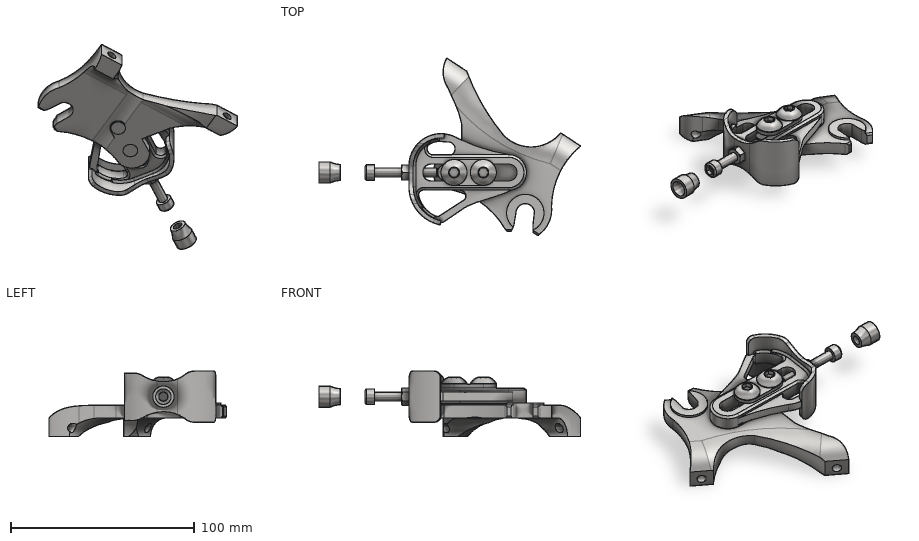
import cadquery as cq
import math

plate_bottom = 10.2
plate_top = 17.2
rail_height = 9.3
rail_top = plate_top + rail_height
axis_z = plate_top + rail_height / 2
clamp_spacing = 16.0
clamp_xs = [0.0, clamp_spacing]
clamp_shank_d = 8.0
adjuster_d = 5.0

foot_corner = (-3.96, 62.5)
mount_angle = math.radians(33.3)
mount_length = 87.5
foot_width = 13.1
foot_thickness = 10.2
foot_face_height = 10.3
along_dir = cq.Vector(math.cos(mount_angle), -math.sin(mount_angle), 0)
inward_dir = cq.Vector(-math.sin(mount_angle), -math.cos(mount_angle), 0)
foot_bend_length = 17.2
foot_bend_drop = plate_top - foot_face_height
foot_bend_radius = (foot_bend_length**2 + foot_bend_drop**2) / (2 * foot_bend_drop)
foot_hole_d = 5.0
foot_hole_z = 4.7
tunnel_start = 13.7
tunnel_end = 73.8
tunnel_height = 8.3
tunnel_near_haunch = (24.1, 4.7)
tunnel_far_haunch = (67.3, 6.6)
reach = 130.0

dome_axis = (74.8, 98.8)
dome_flat_radius = 96.6
dome_inner_radius = 76.0
dome_outer_radius = 200.0

nose_x = -5.6
nose_half_width = 8.95
nose_tip_x = -11.45
hook_center = (38.9, -22.1)
hook_slot_radius = 5.0
hook_ring_radius = 10.2
hook_ring_height = 1.3
hook_arc_rise = 0.8
hook_tips = [((29.0, -32.2), (31.15, -32.2)), ((43.2, -32.9), (45.8, -34.5))]
hook_tip_chamfer = 1.0
key_start = -4.4
key_radius = 4.5
key_height = 7.2


def mount_point(along, inward):
    """Plan position of a point given in the mounting frame."""
    spot = along_dir * along + inward_dir * inward
    return (foot_corner[0] + spot.x, foot_corner[1] + spot.y)


def stadium(start_x, end_x, radius, bottom, height):
    """Upright slot-shaped solid along X, given the centres of its two round ends."""
    length = end_x - start_x + 2 * radius
    plan = cq.Workplane("XY", origin=((start_x + end_x) / 2, 0, bottom)).slot2D(length, 2 * radius)
    return plan.extrude(height)


def base_blank():
    hook_x, hook_y = hook_center
    mouth_y = hook_y + hook_arc_rise
    mouth_half = math.sqrt(hook_slot_radius**2 - hook_arc_rise**2)
    return (
        cq.Workplane("XY")
        .moveTo(*foot_corner)
        .threePointArc((-6.0, 55.3), (-3.3, 46.1))
        .lineTo(0.35, 37.9)
        .threePointArc((2.75, 31.7), (4.2, 25.9))
        .lineTo(4.2, nose_half_width)
        .lineTo(nose_x, nose_half_width)
        .threePointArc((nose_tip_x, 0), (nose_x, -nose_half_width))
        .threePointArc((13.7, -15.8), (27.7, -30.7))
        .lineTo(*hook_tips[0][0])
        .lineTo(*hook_tips[0][1])
        .lineTo(32.7, -29.0)
        .lineTo(hook_x - mouth_half, mouth_y)
        .threePointArc((hook_x, hook_y + hook_slot_radius), (hook_x + mouth_half, mouth_y))
        .lineTo(43.0, -29.0)
        .lineTo(*hook_tips[1][0])
        .lineTo(*hook_tips[1][1])
        .lineTo(46.8, -33.6)
        .threePointArc((51.6, -27.8), (53.3, -18.5))
        .threePointArc((58.3, 1.1), mount_point(mount_length, 0))
        .lineTo(*mount_point(mount_length - foot_width, 0))
        .threePointArc((42.3, 14.0), (27.3, 20.05))
        .threePointArc((14.4, 39.0), mount_point(foot_width, 0))
        .close()
        .extrude(plate_top)
    )


def foot_bend():
    """Plate that bends down into the feet: one section, run along the mounting plane."""
    middle = math.asin(foot_bend_length / foot_bend_radius) / 2
    outer_mid = (
        foot_bend_length - foot_bend_radius * math.sin(middle),
        plate_top - foot_bend_radius * (1 - math.cos(middle)),
    )
    inner_mid = (
        foot_thickness + plate_bottom * (1 - math.cos(math.pi / 4)),
        plate_bottom * math.sin(math.pi / 4),
    )
    section = cq.Plane(
        origin=(*mount_point(-reach, 0), 0), xDir=inward_dir.toTuple(), normal=(-along_dir).toTuple()
    )
    return (
        cq.Workplane(section)
        .moveTo(0, 0)
        .lineTo(0, foot_face_height)
        .threePointArc(outer_mid, (foot_bend_length, plate_top))
        .lineTo(reach, plate_top)
        .lineTo(reach, plate_bottom)
        .lineTo(foot_thickness + plate_bottom, plate_bottom)
        .threePointArc(inner_mid, (foot_thickness, 0))
        .close()
        .extrude(-3 * reach)
    )


def edge_dome():
    span = dome_flat_radius - dome_inner_radius
    center_z = plate_top - foot_bend_radius
    full_angle = math.asin(span / foot_bend_radius)
    start_z = center_z + foot_bend_radius * math.cos(full_angle)
    middle = (
        dome_flat_radius - foot_bend_radius * math.sin(full_angle / 2),
        center_z + foot_bend_radius * math.cos(full_angle / 2),
    )
    return (
        cq.Workplane("XZ", origin=(*dome_axis, 0))
        .moveTo(dome_inner_radius, 0)
        .lineTo(dome_inner_radius, start_z)
        .threePointArc(middle, (dome_flat_radius, plate_top))
        .lineTo(dome_outer_radius, plate_top)
        .lineTo(dome_outer_radius, 0)
        .close()
        .revolve(360, (0, 0, 0), (0, 1, 0))
    )


def tunnel():
    """Arched clearance between the two feet."""
    face = cq.Plane(
        origin=(*mount_point(0, -1), 0), xDir=along_dir.toTuple(), normal=inward_dir.toTuple()
    )
    return (
        cq.Workplane(face)
        .moveTo(tunnel_start, 0)
        .threePointArc(tunnel_near_haunch, (mount_length / 2, tunnel_height))
        .threePointArc(tunnel_far_haunch, (tunnel_end, 0))
        .close()
        .extrude(reach)
    )


def foot_holes():
    face = cq.Plane(
        origin=(*mount_point(0, 0), 0), xDir=along_dir.toTuple(), normal=inward_dir.toTuple()
    )
    spots = [(foot_width / 2, foot_hole_z), (mount_length - foot_width / 2, foot_hole_z)]
    return cq.Workplane(face).pushPoints(spots).circle(foot_hole_d / 2).extrude(foot_bend_length)


def make_base():
    blank = base_blank()
    ring = (
        cq.Workplane("XY", origin=(*hook_center, plate_bottom))
        .circle(hook_ring_radius)
        .extrude(plate_top + hook_ring_height - plate_bottom)
        .intersect(blank.translate((0, 0, hook_ring_height)))
    )
    key = stadium(key_start, clamp_spacing, key_radius, plate_bottom, plate_top - plate_bottom + key_height)
    body = blank.intersect(foot_bend()).intersect(edge_dome()).cut(tunnel()).cut(foot_holes())
    body = body.union(ring).union(key)
    for start, end in hook_tips:
        middle = ((start[0] + end[0]) / 2, (start[1] + end[1]) / 2)
        for z in (plate_bottom, plate_top):
            tip_edge = cq.selectors.NearestToPointSelector((*middle, z))
            body = body.edges(tip_edge).chamfer(hook_tip_chamfer)
    return body.cut(clamp_holes())


def clamp_holes():
    spots = [(x, 0) for x in clamp_xs]
    return cq.Workplane("XY").pushPoints(spots).circle(clamp_shank_d / 2).extrude(2 * rail_top)


rail_end_x = 29.85
rail_half_width = 9.7
slot_start_x = -12.5
slot_radius = 4.56
web_thickness = 4.85
web_end_x = 31.9
upper_window_start = (-12.1, rail_half_width)
upper_window_turn = (-14.5, 12.0)
upper_window_corner = (-14.0, 15.0)
upper_window_bow = (-11.2, 16.4)
upper_window_end = (-8.0, 16.9)
lower_window_start = (-16.2, -rail_half_width)
lower_window_turn = (-18.7, -10.6)
lower_window_corner = (-19.2, -13.0)
lower_window_bow = (-16.0, -19.3)
lower_window_end = (-9.9, -23.8)
rail_chamfer_width = 1.4
rail_chamfer_height = 0.95

wall_x = -24.7
wall_thickness = 2.4
upper_bend_radius = 17.8
upper_bend_center = (wall_x + upper_bend_radius, 3.5)
upper_end_angle = 84.5
lower_bend_radius = 21.4
lower_bend_center = (wall_x + lower_bend_radius, -7.7)
lower_end_angle = -101.5

root_ends = (115, -140)
root_inset = 0.5
waist_half_height = 8.2
waist_y = -0.4
upper_half_height = 12.9
upper_crest_y = 15.9
lower_half_height = 14.02
lower_crest_y = -17.0
crest_radius = 8.0
upper_corner_radius = 5.0
lower_corner_radius = 3.8


def on_circle(center, radius, degrees):
    angle = math.radians(degrees)
    return (center[0] + radius * math.cos(angle), center[1] + radius * math.sin(angle))


def wall_path(sketch, depth, backwards=False, ends=(upper_end_angle, lower_end_angle)):
    """Draw the wall's plan curve at a depth inside its outer face, from the current point."""
    upper_r = upper_bend_radius - depth
    lower_r = lower_bend_radius - depth
    upper = [on_circle(upper_bend_center, upper_r, a) for a in (ends[0], 140, 180)]
    lower = [on_circle(lower_bend_center, lower_r, a) for a in (-180, -165, ends[1])]
    if backwards:
        upper, lower = lower[::-1], upper[::-1]
    return (
        sketch.lineTo(*upper[0])
        .threePointArc(upper[1], upper[2])
        .lineTo(*lower[0])
        .threePointArc(lower[1], lower[2])
    )


def wave_side(crest_y, crest_height):
    """Waist arc and crest arc of one side: (waist arc middle, joint, crest arc middle, crest)."""
    run = abs(crest_y - waist_y)
    rise = crest_height - waist_half_height
    waist_radius = (run**2 + rise**2) / (2 * rise) - crest_radius
    angle = math.asin(run / (waist_radius + crest_radius))
    sign = math.copysign(1, crest_y - waist_y)

    def on_waist(turn):
        drop = waist_radius * (1 - math.cos(turn))
        return (waist_y + sign * waist_radius * math.sin(turn), waist_half_height + drop)

    crest_mid = (
        crest_y - sign * crest_radius * math.sin(angle / 2),
        crest_height - crest_radius * (1 - math.cos(angle / 2)),
    )
    return [on_waist(angle / 2), on_waist(angle), crest_mid, (crest_y, crest_height)]


def wall_height_profile():
    """Wavy height of the wall across Y, mirrored about the screw axis."""
    far = 40.0
    up = wave_side(upper_crest_y, upper_half_height)
    low = wave_side(lower_crest_y, lower_half_height)
    half = (
        cq.Workplane("YZ", origin=(wall_x - 1, 0, axis_z))
        .moveTo(-far, 0)
        .lineTo(-far, lower_half_height)
        .lineTo(*low[3])
        .threePointArc(low[2], low[1])
        .threePointArc(low[0], (waist_y, waist_half_height))
        .threePointArc(up[0], up[1])
        .threePointArc(up[2], up[3])
        .lineTo(far, upper_half_height)
        .lineTo(far, 0)
        .close()
        .extrude(far)
    )
    return half.union(half.mirror("XY", (0, 0, axis_z)))


def make_wall():
    tall = 2 * lower_half_height
    plan = cq.Workplane("XY", origin=(0, 0, axis_z - tall / 2))
    plan = plan.moveTo(*on_circle(upper_bend_center, upper_bend_radius - wall_thickness, upper_end_angle))
    plan = wall_path(plan, 0)
    plan = wall_path(plan, wall_thickness, backwards=True)
    wall = plan.close().extrude(tall).intersect(wall_height_profile())
    for center, radius, angle, half_height, corner in (
        (upper_bend_center, upper_bend_radius, upper_end_angle, upper_half_height, upper_corner_radius),
        (lower_bend_center, lower_bend_radius, lower_end_angle, lower_half_height, lower_corner_radius),
    ):
        x, y = on_circle(center, radius - wall_thickness / 2, angle)
        for z in (axis_z - half_height, axis_z + half_height):
            wall = wall.edges(cq.selectors.NearestToPointSelector((x, y, z))).fillet(corner)
    return wall


def upper_window():
    return (
        cq.Workplane("XY", origin=(0, 0, plate_top))
        .moveTo(*upper_window_start)
        .threePointArc(upper_window_turn, upper_window_corner)
        .threePointArc(upper_window_bow, upper_window_end)
        .lineTo(-3.5, 16.6)
        .threePointArc((0.5, 13.2), (-1.4, rail_half_width))
        .close()
        .extrude(rail_height)
    )


def lower_window():
    return (
        cq.Workplane("XY", origin=(0, 0, plate_top))
        .moveTo(*lower_window_start)
        .threePointArc(lower_window_turn, lower_window_corner)
        .threePointArc(lower_window_bow, lower_window_end)
        .lineTo(-8.5, -24.0)
        .lineTo(5.7, -14.8)
        .threePointArc((6.3, -12.0), (3.1, -rail_half_width))
        .close()
        .extrude(rail_height)
    )


def make_wall_root():
    """Bevelled step that thickens the wall where the rail meets it."""
    height = rail_height + 2 * rail_chamfer_height
    depth = wall_thickness + rail_chamfer_width
    plan = cq.Workplane("XY", origin=(0, 0, axis_z - height / 2))
    plan = plan.moveTo(*on_circle(upper_bend_center, upper_bend_radius - depth, root_ends[0]))
    plan = wall_path(plan, root_inset, ends=root_ends)
    plan = wall_path(plan, depth, backwards=True, ends=root_ends)
    return plan.close().extrude(height).faces("<Z or >Z").chamfer(rail_chamfer_height, rail_chamfer_width)


def make_web():
    """Thin plate that braces the rail against both ends of the wall."""
    plan = cq.Workplane("XY", origin=(0, 0, axis_z - web_thickness / 2))
    tip_y = math.sqrt(rail_half_width**2 - (web_end_x - rail_end_x) ** 2)
    plan = plan.moveTo(web_end_x, -tip_y).lineTo(web_end_x, tip_y)
    plan = plan.threePointArc((14.0, 13.7), (2.3, 18.6))
    plan = plan.threePointArc((-1.5, 20.3), (-4.9, 21.1))
    plan = wall_path(plan, wall_thickness / 2)
    plan = plan.lineTo(-5.9, -27.2)
    plan = plan.spline([(0.0, -23.2), (5.7, -19.3), (13.9, -15.8), (web_end_x, -tip_y)], includeCurrent=True)
    return plan.close().extrude(web_thickness)


def make_rail():
    """Raised rail that flares out to the wall and follows the near edge of both windows."""
    outside = 2 * wall_x
    flared = (
        cq.Workplane("XY", origin=(0, 0, plate_top))
        .moveTo(rail_end_x, rail_half_width)
        .lineTo(*upper_window_start)
        .threePointArc(upper_window_turn, upper_window_corner)
        .threePointArc(upper_window_bow, upper_window_end)
        .lineTo(upper_window_end[0], -outside)
        .lineTo(outside, -outside)
        .lineTo(outside, outside)
        .lineTo(lower_window_end[0], outside)
        .lineTo(*lower_window_end)
        .threePointArc(lower_window_bow, lower_window_corner)
        .threePointArc(lower_window_turn, lower_window_start)
        .lineTo(rail_end_x, -rail_half_width)
        .threePointArc((rail_end_x + rail_half_width, 0), (rail_end_x, rail_half_width))
        .close()
        .extrude(rail_height)
        .faces("<Z or >Z")
        .chamfer(rail_chamfer_height, rail_chamfer_width)
    )
    bounds = cq.Workplane("XY", origin=(0, 0, plate_top)).moveTo(2 * rail_end_x, upper_bend_radius)
    bounds = wall_path(bounds, wall_thickness / 2).lineTo(2 * rail_end_x, -lower_bend_radius)
    return flared.intersect(bounds.close().extrude(rail_height))


def make_paddle():
    slot = stadium(slot_start_x, rail_end_x, slot_radius, plate_top, rail_height)
    adjuster_hole = (
        cq.Workplane("YZ", origin=(wall_x, 0, axis_z)).circle(adjuster_d / 2).extrude(slot_start_x - wall_x)
    )
    body = make_wall().union(make_web()).union(make_rail()).union(make_wall_root())
    for cutter in (upper_window(), lower_window(), slot, adjuster_hole):
        body = body.cut(cutter)
    return body


washer_thickness = 2.2
washer_radius = 7.1
clamp_head_radius = 7.1
clamp_head_rim = 0.4
clamp_head_height = 3.85
clamp_head_top_radius = 2.95
clamp_crown_bulge = 0.7
clamp_hex = 5.0
clamp_hex_depth = 2.5


def hexagon_diameter(across_flats):
    return across_flats / math.cos(math.pi / 6)


def make_washer():
    return stadium(clamp_xs[0], clamp_xs[-1], washer_radius, rail_top, washer_thickness).cut(clamp_holes())


def make_clamp_screw(x):
    seat = rail_top + washer_thickness
    crown_mid = (
        (clamp_head_radius + clamp_head_top_radius) / 2 + clamp_crown_bulge / 2,
        seat + (clamp_head_rim + clamp_head_height) / 2 + clamp_crown_bulge / 2,
    )
    body = (
        cq.Workplane("XZ")
        .moveTo(0, plate_bottom)
        .lineTo(clamp_shank_d / 2, plate_bottom)
        .lineTo(clamp_shank_d / 2, seat)
        .lineTo(clamp_head_radius, seat)
        .lineTo(clamp_head_radius, seat + clamp_head_rim)
        .threePointArc(crown_mid, (clamp_head_top_radius, seat + clamp_head_height))
        .lineTo(0, seat + clamp_head_height)
        .close()
        .revolve(360, (0, 0, 0), (0, 1, 0))
    )
    socket = (
        cq.Workplane("XY", origin=(0, 0, seat + clamp_head_height - clamp_hex_depth))
        .polygon(6, hexagon_diameter(clamp_hex))
        .extrude(clamp_hex_depth)
    )
    return body.cut(socket).translate((x, 0, 0))


adjuster_head_x = -48.7
adjuster_head_length = 5.4
adjuster_head_d = 8.6
adjuster_head_chamfer = 0.9
adjuster_tip_chamfer = 0.6
adjuster_hex = 4.6
adjuster_hex_depth = 2.5
nut_length = 3.9
nut_hex = 8.4
nut_bevel = 0.5
cap_x = -73.86
cap_length = 11.85
cap_barrel_length = 6.2
cap_d = 11.6
cap_neck_d = 8.8
cap_bore_d = 8.5
cap_taper_hollow = 0.3
cap_exit_d = 5.0


def hex_along_x(x, across_flats, length):
    """Hexagonal bar along X with a corner upwards."""
    plan = cq.Workplane("YZ", origin=(x, 0, axis_z)).transformed(rotate=(0, 0, 90))
    return plan.polygon(6, hexagon_diameter(across_flats)).extrude(length)


def make_adjuster():
    tip_x = key_start - key_radius
    shank_x = adjuster_head_x + adjuster_head_length
    head = (
        cq.Workplane("YZ", origin=(adjuster_head_x, 0, axis_z))
        .circle(adjuster_head_d / 2)
        .extrude(adjuster_head_length)
        .faces("<X")
        .chamfer(adjuster_head_chamfer)
    )
    shank = (
        cq.Workplane("YZ", origin=(shank_x, 0, axis_z))
        .circle(adjuster_d / 2)
        .extrude(tip_x - shank_x)
        .faces(">X")
        .chamfer(adjuster_tip_chamfer)
    )
    return head.union(shank).cut(hex_along_x(adjuster_head_x, adjuster_hex, adjuster_hex_depth))


def make_nut():
    nut_x = wall_x - nut_length
    bore = cq.Workplane("YZ", origin=(nut_x, 0, axis_z)).circle(adjuster_d / 2).extrude(nut_length)
    bevel = (
        cq.Workplane("YZ", origin=(nut_x, 0, axis_z))
        .circle(hexagon_diameter(nut_hex) / 2)
        .extrude(nut_length)
        .faces("<X")
        .chamfer(nut_bevel)
    )
    return hex_along_x(nut_x, nut_hex, nut_length).intersect(bevel).cut(bore)


def make_cap():
    """Ferrule with a barrel, a curved taper to its neck and a tapering bore."""
    taper_mid = ((cap_barrel_length + cap_length) / 2, (cap_d + cap_neck_d) / 4 - cap_taper_hollow)
    return (
        cq.Workplane("XY")
        .moveTo(0, cap_bore_d / 2)
        .lineTo(0, cap_d / 2)
        .lineTo(cap_barrel_length, cap_d / 2)
        .threePointArc(taper_mid, (cap_length, cap_neck_d / 2))
        .lineTo(cap_length, cap_exit_d / 2)
        .close()
        .revolve(360, (0, 0, 0), (1, 0, 0))
        .translate((cap_x, 0, axis_z))
    )


base = make_base()
paddle = make_paddle()
washer = make_washer()
clamp_screws = [make_clamp_screw(x) for x in clamp_xs]
adjuster = make_adjuster()
nut = make_nut()
cap = make_cap()

result = cq.Compound.makeCompound(
    [
        base.val(),
        paddle.val(),
        washer.val(),
        *[screw.val() for screw in clamp_screws],
        adjuster.val(),
        nut.val(),
        cap.val(),
    ]
)